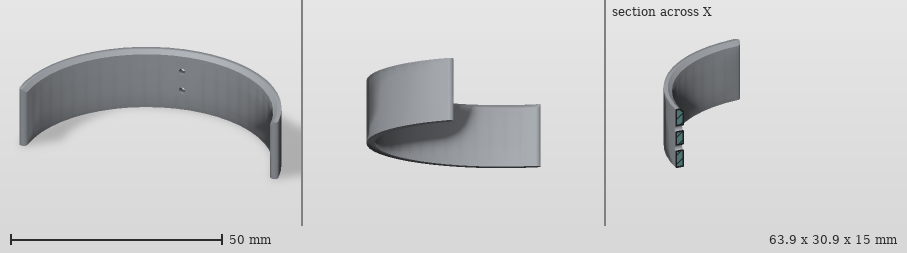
import cadquery as cq
import math

outer_radius = 32.0
wall = 2.0
height = 15.0
end_angle = 3.9

chamfer_width = wall / 2
chamfer_height = chamfer_width

hole_diameter = 1.55
hole_spacing = 5.0
hole_center_height = height / 2

inner_radius = outer_radius - wall
middle_radius = outer_radius - wall / 2


def polar_point(radius, degrees):
    angle = math.radians(degrees)
    return (radius * math.cos(angle), radius * math.sin(angle))


def make_band():
    """Upright arc-shaped strip with fully rounded ends."""
    right_tip = (
        middle_radius * math.cos(math.radians(end_angle)) + wall / 2 * math.sin(math.radians(end_angle)),
        middle_radius * math.sin(math.radians(end_angle)) - wall / 2 * math.cos(math.radians(end_angle)),
    )
    left_tip = (-right_tip[0], right_tip[1])
    return (
        cq.Workplane("XY")
        .moveTo(*polar_point(outer_radius, end_angle))
        .threePointArc((0, outer_radius), polar_point(outer_radius, 180 - end_angle))
        .threePointArc(left_tip, polar_point(inner_radius, 180 - end_angle))
        .threePointArc((0, inner_radius), polar_point(inner_radius, end_angle))
        .threePointArc(right_tip, polar_point(outer_radius, end_angle))
        .close()
        .extrude(height)
    )


def make_chamfer_cutter():
    """Cone about the band axis that bevels the top inner edge."""
    return (
        cq.Workplane("XZ")
        .moveTo(0, height - chamfer_height)
        .lineTo(inner_radius, height - chamfer_height)
        .lineTo(inner_radius + chamfer_width, height)
        .lineTo(0, height)
        .close()
        .revolve(360, (0, 0, 0), (0, 1, 0))
    )


def make_holes():
    """Two holes through the wall along Y, one above the other."""
    return (
        cq.Workplane("XZ")
        .pushPoints([(0, hole_center_height + side * hole_spacing / 2) for side in (-1, 1)])
        .circle(hole_diameter / 2)
        .extrude(-(outer_radius + wall))
    )


result = make_band().cut(make_chamfer_cutter()).cut(make_holes())